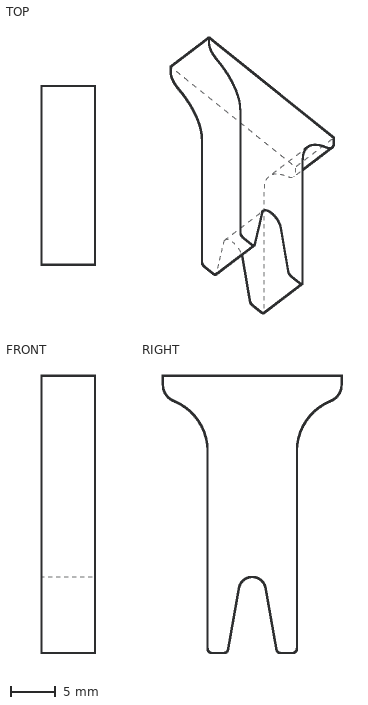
import cadquery as cq
import math

thickness = 6.0
head_width = 20.0
height = 31.0
stem_width = 10.0

lip_height = 1.0
lip_radius = 2.0
neck_radius = 6.0

slot_end_radius = 1.5
slot_end_center_z = 7.0
slot_side_angle = math.radians(10.0)
foot_fillet = 0.5

half_head = head_width / 2
half_stem = stem_width / 2
lip_z = height - lip_height

flare_angle = math.acos(1 - (half_head - half_stem) / (lip_radius + neck_radius))
neck_z = lip_z - (lip_radius + neck_radius) * math.sin(flare_angle)


def lip_point(angle):
    """Point (Y, Z) on the lip arc, at an angle from its upper end."""
    return (
        half_head - lip_radius * (1 - math.cos(angle)),
        lip_z - lip_radius * math.sin(angle),
    )


def neck_point(angle):
    """Point (Y, Z) on the neck arc, at an angle from its lower end."""
    return (
        half_stem + neck_radius * (1 - math.cos(angle)),
        neck_z + neck_radius * math.sin(angle),
    )


def extrude_centered(profile):
    """Extrude a closed YZ profile to the part thickness, centered on X."""
    return profile.extrude(thickness / 2, both=True)


def make_half_body():
    """The +Y half of the T-shaped body, without the slot."""
    profile = (
        cq.Workplane("YZ")
        .moveTo(0, 0)
        .lineTo(half_stem, 0)
        .lineTo(half_stem, neck_z)
        .threePointArc(neck_point(flare_angle / 2), neck_point(flare_angle))
        .threePointArc(lip_point(flare_angle / 2), lip_point(0))
        .lineTo(half_head, height)
        .lineTo(0, height)
        .close()
    )
    return extrude_centered(profile)


def make_slot():
    """The slot, widening downward from a round end tangent to its sides."""
    tangent_y = slot_end_radius * math.cos(slot_side_angle)
    tangent_z = slot_end_center_z + slot_end_radius * math.sin(slot_side_angle)
    mouth_y = tangent_y + tangent_z * math.tan(slot_side_angle)
    profile = (
        cq.Workplane("YZ")
        .moveTo(-mouth_y, 0)
        .lineTo(mouth_y, 0)
        .lineTo(tangent_y, tangent_z)
        .threePointArc((0, slot_end_center_z + slot_end_radius), (-tangent_y, tangent_z))
        .close()
    )
    return extrude_centered(profile)


body = make_half_body().mirror("XZ", union=True).clean()
forked_body = body.cut(make_slot())

result = forked_body.faces("<Z").edges("|X").fillet(foot_fillet)